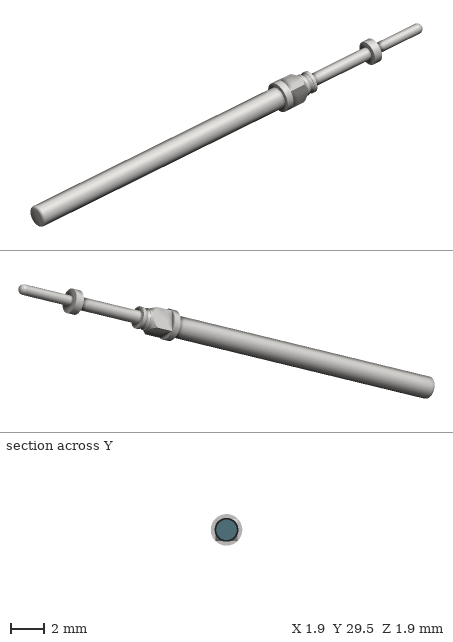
import cadquery as cq

total_length = 29.5
tail_tip_y = total_length / 2

tail_diameter = 0.65
collar_diameter = 1.5
shaft_diameter = 0.8
neck_end_diameter = 0.85
body_diameter = 1.35
groove_edge_diameter = 1.27
groove_middle_diameter = 1.15
flange_diameter = 1.9
square_side = 1.33

collar_start = 3.6
collar_end = 4.13
shaft_end = 8.05
ring_start = 8.5
groove_start = 8.7
groove_end = 9.03
cone_start = 9.2
cone_end = 9.5
flange_start = 10.53
flange_end = 10.97
groove_middle = (groove_start + groove_end) / 2

tail_tip_fillet = 0.3
barrel_end_fillet = 0.18


def station(distance, diameter):
    """Half-profile point at a distance behind the tail tip."""
    return (diameter / 2, tail_tip_y - distance)


def turned(stations):
    """Solid of revolution about Y through (distance, diameter) stations."""
    first_distance = stations[0][0]
    last_distance = stations[-1][0]
    points = [station(first_distance, 0)]
    points += [station(distance, diameter) for distance, diameter in stations]
    points.append(station(last_distance, 0))
    return cq.Workplane("XY").polyline(points).close().revolve(360, (0, 0, 0), (0, 1, 0))


tail_end = turned([
    (0, tail_diameter),
    (collar_start, tail_diameter),
    (collar_start, collar_diameter),
    (collar_end, collar_diameter),
    (collar_end, shaft_diameter),
    (shaft_end, shaft_diameter),
    (ring_start, neck_end_diameter),
    (ring_start, body_diameter),
    (groove_start, body_diameter),
    (groove_start, groove_edge_diameter),
    (groove_middle, groove_middle_diameter),
    (groove_end, groove_edge_diameter),
    (groove_end, body_diameter),
    (cone_start, body_diameter),
])
tail_end = tail_end.faces(">Y").edges().fillet(tail_tip_fillet)

square_blank = turned([
    (cone_start, body_diameter),
    (cone_end, flange_diameter),
    (flange_start, flange_diameter),
])
square_bar = cq.Workplane("XY").box(square_side, total_length, square_side)
square_section = square_blank.intersect(square_bar)

flange_and_barrel = turned([
    (flange_start, flange_diameter),
    (flange_end, flange_diameter),
    (flange_end, body_diameter),
    (total_length, body_diameter),
])
flange_and_barrel = flange_and_barrel.faces("<Y").edges().fillet(barrel_end_fillet)

result = tail_end.union(square_section).union(flange_and_barrel)